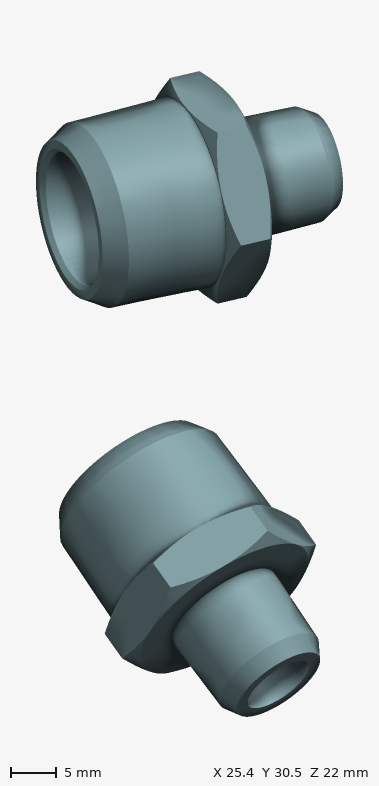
import cadquery as cq
import math

length = 30.5
large_chamfer_end = 2.5
hex_start = 14.0
hex_width = 5.5
hex_end = hex_start + hex_width
small_chamfer_start = 28.58

large_tip_radius = 9.0
large_front_radius = 10.45
large_root_radius = 10.77
small_root_radius = 6.77
small_front_radius = 6.53
small_tip_radius = 5.45

across_flats = 22.0
hex_corner_radius = across_flats / math.sqrt(3)
hex_face_radius = 10.98
hex_chamfer_angle = math.radians(30)
hex_chamfer_height = (hex_corner_radius - hex_face_radius) * math.tan(hex_chamfer_angle)

through_radius = 4.0
bore_radius = 7.53
bore_mouth_radius = 7.95
bore_mouth_depth = 0.55
bore_depth = 14.0
bore_tip_half_angle = math.radians(59)
bore_tip_length = (bore_radius - through_radius) / math.tan(bore_tip_half_angle)


def revolve_profile(points):
    """Revolve a closed (radius, station) outline around the Y axis."""
    return cq.Workplane("XY").polyline(points).close().revolve(360, (0, 0), (0, 1))


def make_large_spigot():
    return revolve_profile([
        (0, 0),
        (large_tip_radius, 0),
        (large_front_radius, large_chamfer_end),
        (large_root_radius, hex_start),
        (0, hex_start),
    ])


def make_small_spigot():
    return revolve_profile([
        (0, hex_end),
        (small_root_radius, hex_end),
        (small_front_radius, small_chamfer_start),
        (small_tip_radius, length),
        (0, length),
    ])


def make_hexagon():
    prism = (
        cq.Workplane("XZ", origin=(0, hex_end, 0))
        .polygon(6, 2 * hex_corner_radius)
        .extrude(hex_width)
    )
    envelope = revolve_profile([
        (0, hex_start),
        (hex_face_radius, hex_start),
        (hex_corner_radius, hex_start + hex_chamfer_height),
        (hex_corner_radius, hex_end - hex_chamfer_height),
        (hex_face_radius, hex_end),
        (0, hex_end),
    ])
    return prism.intersect(envelope)


def make_bore():
    return revolve_profile([
        (0, 0),
        (bore_mouth_radius, 0),
        (bore_radius, bore_mouth_depth),
        (bore_radius, bore_depth),
        (through_radius, bore_depth + bore_tip_length),
        (through_radius, length),
        (0, length),
    ])


body = make_hexagon().union(make_large_spigot()).union(make_small_spigot())
result = body.cut(make_bore()).translate((0, -length / 2, 0))